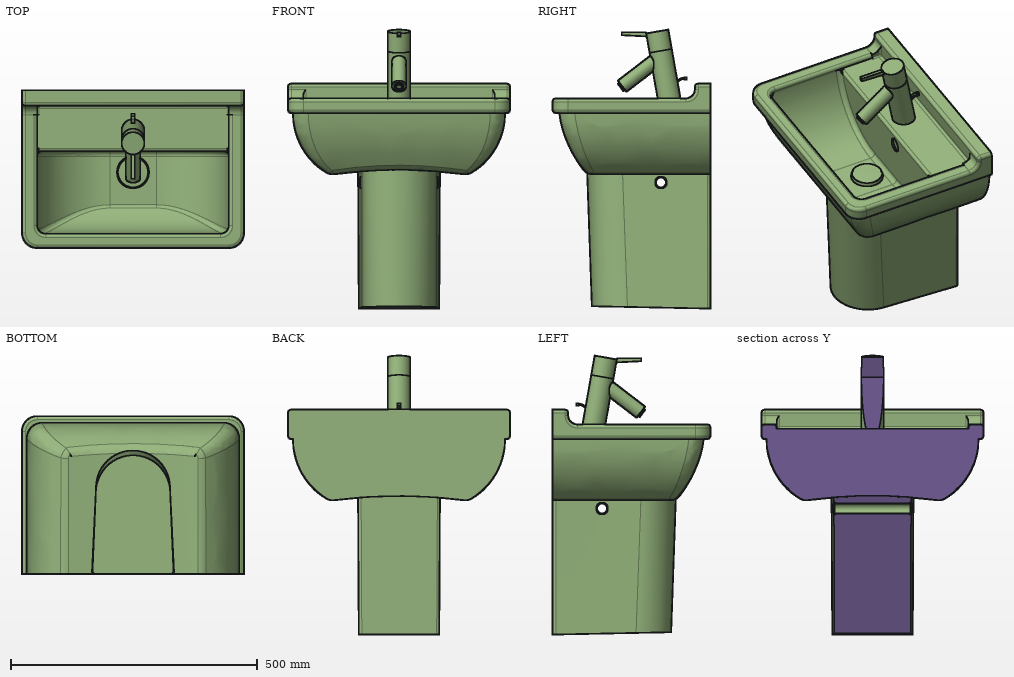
import cadquery as cq
import math

pick_margin = 1.0

rim_width = 450.0
rim_depth = 320.21
rim_top = 426.0
rim_thickness = 30.0
rim_corner_radius = 31.0
rim_edge_radius = 7.0
rim_bottom = rim_top - rim_thickness
half_rim = rim_width / 2

upstand_height = 30.0
upstand_depth = 32.0
upstand_cove_radius = 18.5
upstand_top = rim_top + upstand_height

opening_half_width = 194.0
opening_front = 291.0
opening_corner_radius = 17.0
deck_recess = 9.0
deck_front = 124.0
deck_edge_radius = 6.0
deck_back_radius = 5.0
deck_side_radius = 3.0
deck_z = rim_top - deck_recess

floor_z = 295.0
floor_flat_half_width = 47.0
bowl_front_radius = 162.0
bowl_blend_radius = 10.0

overflow_x = 40.0
overflow_z = 390.0
overflow_radius = 14.0
overflow_depth = 4.0

shell_half_width = 215.0
shell_depth = 306.5
shell_side_radius = 141.0
shell_front_radius = 230.0
shell_front_lean = math.radians(7.6)
shell_corner_top = 31.0
shell_corner_bottom = 14.0
shell_section_drops = (0.0, 45.0, 90.0, 131.0)
underside_arch_radius = 970.0
underside_arch_top = 281.0
underside_edge_radius = 24.0

pedestal_loft_top = 285.0
pedestal_back_half_width_bottom = 82.0
pedestal_back_half_width_top = 83.5
pedestal_depth_bottom = 240.5
pedestal_depth_top = 250.5
pedestal_nose_radius = 75.0
pedestal_back_edge_radius = 6.0
pedestal_foot_rise = 5.0
fixing_hole_y = -100.5
fixing_hole_z = 255.5
fixing_hole_diameter = 20.0
fixing_rim_diameter = 24.0
fixing_rim_reach = 76.0

drain_y = -166.5
drain_radius = 32.5
drain_seat_depth = 5.0
drain_edge_height = 7.0
drain_edge_inset = 2.0
drain_dome_height = 8.5

overall_height = 565.38
tap_tilt = math.radians(10)
tap_radius = 23.0
tap_base_y = -82.5
tap_head_length = 40.0
tap_root = 10.0
tap_length = (overall_height - tap_radius * math.sin(tap_tilt) - deck_z) / math.cos(tap_tilt)

spout_angle = math.radians(37.5)
spout_radius = 14.5
spout_end_y = -179.0
spout_end_z = 450.5
spout_length = 86.0
aerator_radius = 9.5
aerator_bore_radius = 6.5
aerator_seat_depth = 6.0
aerator_projection = 4.0
aerator_bore_depth = 3.0

lever_tip_y = -180.0
lever_top_z = 560.0
lever_width = 7.0
lever_tip_thickness = 6.5
lever_root_thickness = 9.5

pull_width = 7.0
pull_thickness = 2.5
pull_tip_y = -48.0
pull_z = 466.5
pull_knob_size = 5.0
pull_bend_radius = 18.0
pull_straight = 5.0


def u_outline(half_width, depth, corner, z):
    """Closed wire at height z: straight at the wall, rounded at both front corners."""
    return (
        cq.Workplane("XY", origin=(0, 0, z))
        .moveTo(-half_width, 0)
        .lineTo(half_width, 0)
        .lineTo(half_width, -(depth - corner))
        .radiusArc((half_width - corner, -depth), corner)
        .lineTo(-(half_width - corner), -depth)
        .radiusArc((-half_width, -(depth - corner)), corner)
        .close()
    )


def arc_inset(drop, radius, lean=0.0):
    """Inward offset of a circular wall after a given drop, starting at a given lean."""
    end = math.asin(drop / radius + math.sin(lean))
    return radius * (math.cos(lean) - math.cos(end))


def make_rim():
    cove_start = upstand_depth + upstand_cove_radius
    cove_end_z = rim_top + upstand_cove_radius
    rim = (
        cq.Workplane("YZ", origin=(-half_rim, 0, 0))
        .moveTo(0, rim_bottom)
        .lineTo(-rim_depth, rim_bottom)
        .lineTo(-rim_depth, rim_top)
        .lineTo(-cove_start, rim_top)
        .radiusArc((-upstand_depth, cove_end_z), -upstand_cove_radius)
        .lineTo(-upstand_depth, upstand_top)
        .lineTo(0, upstand_top)
        .close()
        .extrude(rim_width)
    )
    rim = rim.edges("|Z and <Y").fillet(rim_corner_radius)
    rim = rim.faces(">Z").edges("<Y").fillet(rim_edge_radius)
    return rim.faces("<X or >X").edges("not(<Y or >Y or |Z)").fillet(rim_edge_radius)


def make_shell():
    """Rounded bowl outside, arched across its underside."""
    sections = []
    for drop in shell_section_drops:
        progress = drop / shell_section_drops[-1]
        outline = u_outline(
            shell_half_width - arc_inset(drop, shell_side_radius),
            shell_depth - arc_inset(drop, shell_front_radius, shell_front_lean),
            shell_corner_top + (shell_corner_bottom - shell_corner_top) * progress**2,
            rim_bottom - drop,
        )
        sections.append(outline.val())
    shell = cq.Workplane(cq.Solid.makeLoft(sections))
    arch = (
        cq.Workplane("XZ", origin=(0, rim_depth, 0))
        .center(0, underside_arch_top - underside_arch_radius)
        .circle(underside_arch_radius)
        .extrude(3 * rim_depth)
    )
    return shell.cut(arch).faces("<Z").edges("not(>Y)").fillet(underside_edge_radius)


def opening_block(z, height, grow=0.0, back=upstand_depth):
    """Block filling the rim opening upwards from z, enlarged in front and at the sides by grow."""
    front = opening_front + grow
    block = (
        cq.Workplane("XY", origin=(0, -(front + back) / 2, z))
        .rect(2 * (opening_half_width + grow), front - back)
        .extrude(height)
    )
    return block.edges("|Z and <Y").fillet(opening_corner_radius + grow)


def make_opening_flare():
    """Rolled-over edge of the opening along the sides and the front."""
    flare_back = upstand_depth + upstand_cove_radius
    flare = opening_block(deck_z, deck_recess, 2 * rim_edge_radius, flare_back)
    lip = flare.cut(opening_block(deck_z, deck_recess))
    inner_top_edges = cq.selectors.BoxSelector(
        (-opening_half_width - pick_margin, -opening_front - pick_margin, rim_top - pick_margin),
        (opening_half_width + pick_margin, -flare_back, rim_top + pick_margin),
    )
    return flare.cut(lip.edges(inner_top_edges).fillet(rim_edge_radius))


def make_deck_pocket():
    height = upstand_top - deck_z
    pocket = opening_block(deck_z, height)
    pocket = pocket.faces("<Z").edges("|Y").fillet(deck_side_radius)
    return pocket.faces("<Z").edges(">Y").fillet(deck_back_radius)


def make_deck_edge_rounding():
    """Waste left over when the front edge of the deck is rounded."""
    half_width = opening_half_width - deck_side_radius
    return (
        cq.Workplane("YZ", origin=(-half_width, 0, 0))
        .moveTo(deck_edge_radius - deck_front, deck_z)
        .radiusArc((-deck_front, deck_z - deck_edge_radius), -deck_edge_radius)
        .lineTo(-deck_front, deck_z)
        .close()
        .extrude(2 * half_width)
    )


def make_bowl_cavity():
    """Curved floor swept front to back, closed by a curved front wall."""
    rise = deck_z - floor_z
    run = opening_half_width - floor_flat_half_width
    floor_side_radius = (run**2 + rise**2) / (2 * rise)
    floor_profile = (
        cq.Workplane("XZ", origin=(0, -deck_front, 0))
        .moveTo(-floor_flat_half_width, floor_z)
        .lineTo(floor_flat_half_width, floor_z)
        .radiusArc((opening_half_width, deck_z), -floor_side_radius)
        .lineTo(opening_half_width, rim_top)
        .lineTo(-opening_half_width, rim_top)
        .lineTo(-opening_half_width, deck_z)
        .radiusArc((-floor_flat_half_width, floor_z), -floor_side_radius)
        .close()
        .extrude(opening_front - deck_front)
    )
    front_foot = opening_front - arc_inset(rise, bowl_front_radius)
    front_profile = (
        cq.Workplane("YZ", origin=(-half_rim, 0, 0))
        .moveTo(-deck_front, floor_z)
        .lineTo(-front_foot, floor_z)
        .radiusArc((-opening_front, deck_z), bowl_front_radius)
        .lineTo(-opening_front, rim_top)
        .lineTo(-deck_front, rim_top)
        .close()
        .extrude(rim_width)
    )
    plan = opening_block(floor_z, rim_top - floor_z)
    cavity = floor_profile.intersect(front_profile).intersect(plan)
    foot_edges = cq.selectors.BoxSelector(
        (-opening_half_width, -opening_front, floor_z - pick_margin),
        (opening_half_width, -deck_front + pick_margin, (floor_z + deck_z) / 2),
    )
    return cavity.edges(foot_edges).edges("not |Y").fillet(bowl_blend_radius)


def make_basin():
    basin = make_rim().union(make_shell())
    basin = basin.cut(make_deck_pocket()).cut(make_opening_flare())
    basin = basin.cut(make_bowl_cavity()).cut(make_deck_edge_rounding())
    overflow = (
        cq.Workplane("XZ", origin=(overflow_x, -deck_front + overflow_depth, overflow_z))
        .circle(overflow_radius)
        .extrude(2 * overflow_depth)
    )
    drain_seat = (
        cq.Workplane("XY", origin=(0, drain_y, floor_z - drain_seat_depth))
        .circle(drain_radius)
        .extrude(3 * drain_seat_depth)
    )
    return basin.cut(overflow).cut(drain_seat)


def pedestal_outline(back_half_width, depth, nose, z):
    """Closed wire at height z: leaning sides tangent to a round nose."""
    centre_y = nose - depth
    reach = math.hypot(back_half_width, centre_y)
    lean = math.acos(nose / reach) - math.atan2(-centre_y, back_half_width)
    tangent_x = nose * math.cos(lean)
    tangent_y = centre_y - nose * math.sin(lean)
    return (
        cq.Workplane("XY", origin=(0, 0, z))
        .moveTo(-back_half_width, 0)
        .lineTo(back_half_width, 0)
        .lineTo(tangent_x, tangent_y)
        .threePointArc((0, -depth), (-tangent_x, tangent_y))
        .close()
    )


def make_pedestal(basin):
    bottom = pedestal_outline(
        pedestal_back_half_width_bottom, pedestal_depth_bottom, pedestal_nose_radius, 0
    )
    top = pedestal_outline(
        pedestal_back_half_width_top, pedestal_depth_top, pedestal_nose_radius, pedestal_loft_top
    )
    pedestal = cq.Workplane(cq.Solid.makeLoft([bottom.val(), top.val()], True))
    pedestal = pedestal.faces(">Y").edges("not #Z").fillet(pedestal_back_edge_radius)
    foot_slope = (
        cq.Workplane("YZ", origin=(-half_rim, 0, 0))
        .lineTo(-pedestal_depth_top, pedestal_foot_rise)
        .lineTo(-pedestal_depth_top, 0)
        .close()
        .extrude(rim_width)
    )
    fixing_axis = cq.Workplane("YZ", origin=(0, fixing_hole_y, fixing_hole_z))
    hole = fixing_axis.circle(fixing_hole_diameter / 2).extrude(half_rim, both=True)
    rims = (
        fixing_axis.circle(fixing_rim_diameter / 2).extrude(half_rim, both=True)
        .cut(fixing_axis.circle(fixing_rim_diameter / 2).extrude(fixing_rim_reach, both=True))
    )
    return pedestal.cut(foot_slope).cut(hole).cut(rims).cut(basin)


def make_drain():
    """Domed disc seated in the floor of the bowl."""
    edge_z = floor_z + drain_edge_height
    return (
        cq.Workplane("XZ", origin=(0, drain_y, 0))
        .moveTo(0, floor_z - drain_seat_depth)
        .lineTo(drain_radius, floor_z - drain_seat_depth)
        .lineTo(drain_radius, floor_z)
        .lineTo(drain_radius - drain_edge_inset, edge_z)
        .lineTo(0, floor_z + drain_dome_height)
        .close()
        .revolve(360, (0, 0, 0), (0, 1, 0))
    )


def tap_cylinder(start, length):
    """Cylinder on the leaning tap axis, start measured from the deck along it."""
    plane = cq.Plane(
        origin=(0, tap_base_y, deck_z),
        xDir=(0, -math.cos(tap_tilt), -math.sin(tap_tilt)),
        normal=(0, -math.sin(tap_tilt), math.cos(tap_tilt)),
    )
    return cq.Workplane(plane).workplane(offset=start).circle(tap_radius).extrude(length)


def spout_cylinder(radius, start, length):
    """Cylinder on the spout axis, start measured outward from the spout mouth."""
    plane = cq.Plane(
        origin=(0, spout_end_y, spout_end_z),
        xDir=(-1, 0, 0),
        normal=(0, -math.cos(spout_angle), -math.sin(spout_angle)),
    )
    return cq.Workplane(plane).workplane(offset=start).circle(radius).extrude(length)


def make_tap_body():
    body = tap_cylinder(-tap_root, tap_root + tap_length - tap_head_length)
    below_deck = (
        cq.Workplane("XY", origin=(0, tap_base_y, deck_z))
        .rect(4 * tap_radius, 4 * tap_radius)
        .extrude(-2 * tap_root)
    )
    return body.cut(below_deck)


def make_tap_head():
    return tap_cylinder(tap_length - tap_head_length, tap_head_length)


def make_spout(body):
    spout = spout_cylinder(spout_radius, -spout_length, spout_length).cut(body)
    return spout.cut(spout_cylinder(aerator_radius, -aerator_seat_depth, aerator_seat_depth))


def make_aerator():
    aerator = spout_cylinder(
        aerator_radius, -aerator_seat_depth, aerator_seat_depth + aerator_projection
    )
    bore_start = aerator_projection - aerator_bore_depth
    return aerator.cut(spout_cylinder(aerator_bore_radius, bore_start, aerator_bore_depth))


def make_lever(head):
    """Flat topped bar, thinner towards its tip, starting at the front of the head."""
    root_y = tap_base_y - tap_length * math.sin(tap_tilt)
    lever = (
        cq.Workplane("YZ", origin=(-lever_width / 2, 0, 0))
        .moveTo(root_y - tap_radius / 2, lever_top_z)
        .lineTo(lever_tip_y, lever_top_z)
        .lineTo(lever_tip_y, lever_top_z - lever_tip_thickness)
        .lineTo(root_y - tap_radius / 2, lever_top_z - lever_root_thickness)
        .close()
        .extrude(lever_width)
    )
    above_head = tap_cylinder(tap_length, tap_head_length)
    return lever.cut(head).cut(above_head)


def make_waste_pull(body):
    """Bent strip behind the tap body with a small grip at its tip."""
    bend_y = pull_tip_y - pull_straight
    strip = (
        cq.Workplane("YZ", origin=(-pull_width / 2, 0, 0))
        .moveTo(pull_tip_y, pull_z - pull_thickness / 2)
        .lineTo(pull_tip_y, pull_z + pull_thickness / 2)
        .lineTo(bend_y, pull_z + pull_thickness / 2)
        .radiusArc(
            (bend_y - pull_bend_radius - pull_thickness / 2, pull_z - pull_bend_radius),
            -(pull_bend_radius + pull_thickness / 2),
        )
        .lineTo(bend_y - pull_bend_radius + pull_thickness / 2, pull_z - pull_bend_radius)
        .radiusArc((bend_y, pull_z - pull_thickness / 2), pull_bend_radius - pull_thickness / 2)
        .close()
        .extrude(pull_width)
    )
    grip = cq.Workplane("XY", origin=(0, pull_tip_y - pull_knob_size / 2, pull_z)).box(
        pull_width, pull_knob_size, pull_knob_size
    )
    return strip.union(grip).cut(body)


basin = make_basin()
pedestal = make_pedestal(basin)
drain = make_drain()
tap_body = make_tap_body()
tap_head = make_tap_head()
spout = make_spout(tap_body)
aerator = make_aerator()
lever = make_lever(tap_head)
waste_pull = make_waste_pull(tap_body)

result = cq.Compound.makeCompound(
    [
        basin.solids().val(),
        pedestal.solids().val(),
        drain.solids().val(),
        tap_body.solids().val(),
        tap_head.solids().val(),
        spout.solids().val(),
        aerator.solids().val(),
        lever.solids().val(),
        waste_pull.solids().val(),
    ]
)